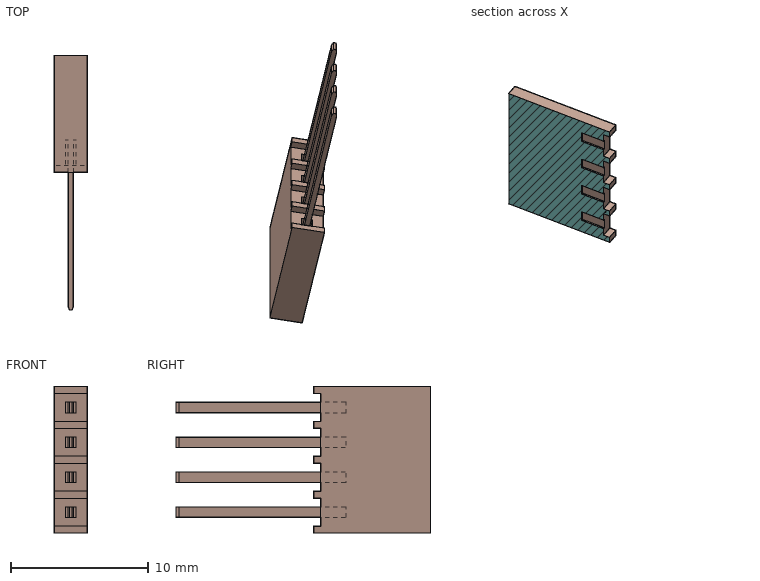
import cadquery as cq

length = 18.52
width = 2.4
height = 10.67
housing_length = 8.5

pin_count = 4
rib_height = 0.52
rib_depth = 0.5
pin_thickness = 0.39
pin_height = 0.78
tip_thickness = 0.19
tip_length = 0.25
slot_width = 0.8
slot_depth = 1.85

pin_tip_y = -length / 2
housing_back_y = length / 2
rib_front_y = housing_back_y - housing_length
face_y = rib_front_y + rib_depth
slot_floor_y = face_y + slot_depth
pitch = (height - rib_height) / pin_count
bay_height = pitch - rib_height
pin_levels = [(i - (pin_count - 1) / 2) * pitch for i in range(pin_count)]


def block(size_x, size_z, front_y, back_y, center_z=0.0):
    """Box centred on X, spanning front_y to back_y."""
    box = cq.Workplane("XY").box(size_x, back_y - front_y, size_z)
    return box.translate((0, (front_y + back_y) / 2, center_z))


def make_housing():
    """Block with open bays between the ribs and a slot in every bay."""
    housing = block(width, height, rib_front_y, housing_back_y)
    for z in pin_levels:
        housing = housing.cut(block(width, bay_height, rib_front_y, face_y, z))
        housing = housing.cut(block(slot_width, pin_height, face_y, slot_floor_y, z))
    return housing


def make_pin(center_z):
    """Flat pin rooted in the slot floor, with its end tapered in X."""
    half_pin = pin_thickness / 2
    half_tip = tip_thickness / 2
    taper_y = pin_tip_y + tip_length
    outline = [
        (-half_pin, slot_floor_y),
        (-half_pin, taper_y),
        (-half_tip, pin_tip_y),
        (half_tip, pin_tip_y),
        (half_pin, taper_y),
        (half_pin, slot_floor_y),
    ]
    pin = cq.Workplane("XY").polyline(outline).close().extrude(pin_height)
    return pin.translate((0, 0, center_z - pin_height / 2))


result = make_housing()
for level in pin_levels:
    result = result.union(make_pin(level))